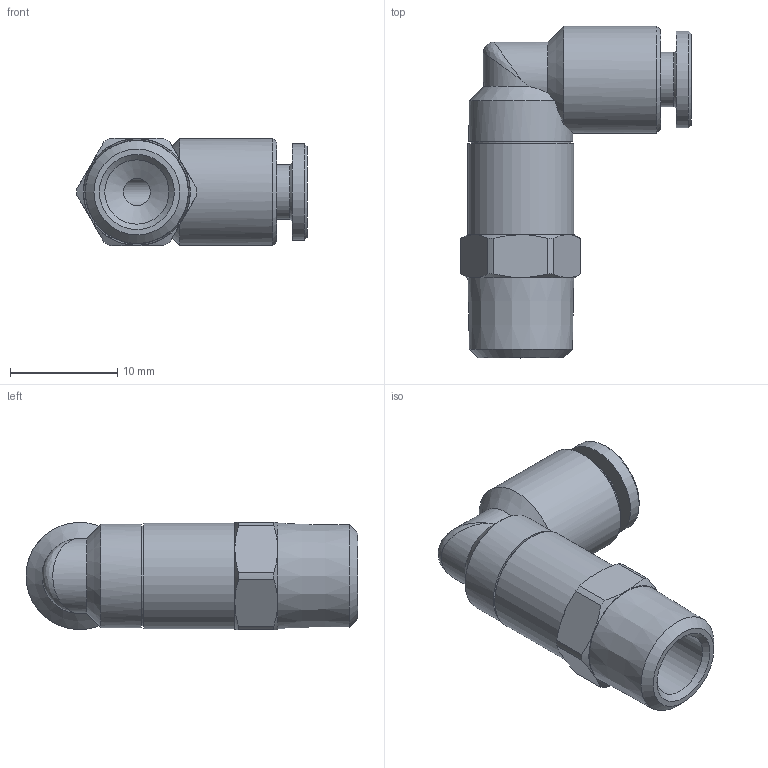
import cadquery as cq
import math


NECK_RADIUS = 3.5
ELBOW_EDGE_RADIUS = 1.0

BRANCH_RADIUS = 5.0
BRANCH_CONE_START = 2.5
BRANCH_CONE_END = BRANCH_CONE_START + BRANCH_RADIUS - NECK_RADIUS
BRANCH_END = 13.05
BRANCH_END_CHAMFER = 0.35
COLLAR_STEM_RADIUS = 2.55
COLLAR_STEM_CHAMFER = 0.2
COLLAR_RADIUS = 4.5
COLLAR_THICKNESS = 1.4
COLLAR_CHAMFER = 0.25
COLLAR_END = 15.9
COLLAR_START = COLLAR_END - COLLAR_THICKNESS

SLEEVE_RADIUS = 4.85
SLEEVE_CONE_START = 0.65
SLEEVE_CONE_END = SLEEVE_CONE_START + SLEEVE_RADIUS - NECK_RADIUS
SLEEVE_END = 5.75
GROOVE_RADIUS = 4.65
GROOVE_WIDTH = 0.25
BODY_START = SLEEVE_END + GROOVE_WIDTH
BODY_RADIUS = 4.94
HEX_START = 14.5
HEX_LENGTH = 4.0
HEX_END = HEX_START + HEX_LENGTH
STEM_END = 26.0

HEX_SIDES = 6
HEX_ACROSS_FLATS = 10.0
HEX_CORNER_RADIUS = 5.6
HEX_CHAMFER_ANGLE = math.radians(30)

THREAD_TIP_RADIUS = 4.81
THREAD_CHAMFER = 0.8

STEM_BORE_RADIUS = 3.0
STEM_BORE_CHAMFER = 0.5
STEM_BORE_DEPTH = 20.0
DRILL_POINT_ANGLE = math.radians(118)
PASSAGE_RADIUS = 1.27


def revolve_stem(profile):
    """Revolve (radius, distance) points about Y, distance running toward -Y."""
    points = [(radius, -distance) for radius, distance in profile]
    return cq.Workplane("XY").polyline(points).close().revolve(360, (0, 0, 0), (0, 1, 0))


def revolve_branch(profile):
    """Revolve (radius, distance) points about X, distance running toward +X."""
    points = [(distance, radius) for radius, distance in profile]
    return cq.Workplane("XY").polyline(points).close().revolve(360, (0, 0, 0), (1, 0, 0))


def make_elbow():
    """Two equal cylinders meeting at a corner whose outer mitre edge is rounded.

    A ball of the edge radius, rolling inside both cylinders, has its centre on a
    half ellipse in the mitre plane. It touches each cylinder along a plane curve,
    and those two planes bound the wedge that holds the rounding.
    """
    reach = 2 * NECK_RADIUS
    centre_radius = NECK_RADIUS - ELBOW_EDGE_RADIUS

    def prism(outline):
        return cq.Workplane("XY").polyline(outline).close().extrude(reach, both=True)

    branch_contact = (-2 * centre_radius, reach)
    stem_contact = (-reach, 2 * centre_radius)

    branch_side = prism([(0, 0), branch_contact, (reach, reach), (reach, -reach)])
    stem_side = prism([(0, 0), (reach, -reach), (-reach, -reach), stem_contact])
    wedge = prism([(0, 0), branch_contact, (-reach, reach), stem_contact])

    branch_leg = (
        cq.Workplane("YZ").circle(NECK_RADIUS).extrude(reach, both=True).intersect(branch_side)
    )
    stem_leg = (
        cq.Workplane("XZ").circle(NECK_RADIUS).extrude(reach, both=True).intersect(stem_side)
    )

    outward = (-1, 1, 0)
    across = (1, 1, 0)
    core_reach = (NECK_RADIUS + centre_radius) / math.sqrt(2)
    mitre_plane = cq.Plane((0, 0, 0), xDir=outward, normal=across)
    core = cq.Workplane(mitre_plane).ellipse(core_reach, NECK_RADIUS).extrude(reach, both=True)
    spine = cq.Workplane(mitre_plane).ellipse(math.sqrt(2) * centre_radius, centre_radius)
    ball_plane = cq.Plane((-centre_radius, centre_radius, 0), xDir=across, normal=(0, 0, 1))
    tube = cq.Workplane(ball_plane).circle(ELBOW_EDGE_RADIUS).sweep(spine)
    corner = core.union(tube).intersect(wedge)
    return branch_leg.union(stem_leg).union(corner)


def make_branch():
    """Cone, cylinder with chamfered rim, and the flanged release collar."""
    return revolve_branch([
        (0, BRANCH_CONE_START),
        (NECK_RADIUS, BRANCH_CONE_START),
        (BRANCH_RADIUS, BRANCH_CONE_END),
        (BRANCH_RADIUS, BRANCH_END - BRANCH_END_CHAMFER),
        (BRANCH_RADIUS - BRANCH_END_CHAMFER, BRANCH_END),
        (COLLAR_STEM_RADIUS, BRANCH_END),
        (COLLAR_STEM_RADIUS, COLLAR_START - COLLAR_STEM_CHAMFER),
        (COLLAR_STEM_RADIUS + COLLAR_STEM_CHAMFER, COLLAR_START),
        (COLLAR_RADIUS, COLLAR_START),
        (COLLAR_RADIUS, COLLAR_END - COLLAR_CHAMFER),
        (COLLAR_RADIUS - COLLAR_CHAMFER, COLLAR_END),
        (0, COLLAR_END),
    ])


def make_stem():
    """Coned sleeve, narrow groove, round body and tapered thread blank."""
    return revolve_stem([
        (0, SLEEVE_CONE_START),
        (NECK_RADIUS, SLEEVE_CONE_START),
        (SLEEVE_RADIUS, SLEEVE_CONE_END),
        (SLEEVE_RADIUS, SLEEVE_END),
        (GROOVE_RADIUS, SLEEVE_END),
        (GROOVE_RADIUS, BODY_START),
        (BODY_RADIUS, BODY_START),
        (BODY_RADIUS, HEX_END),
        (THREAD_TIP_RADIUS, STEM_END - THREAD_CHAMFER),
        (THREAD_TIP_RADIUS - THREAD_CHAMFER, STEM_END),
        (0, STEM_END),
    ])


def make_hex():
    """Hexagon with flats facing +Z and -Z, its corners turned and chamfered."""
    face_radius = HEX_ACROSS_FLATS / 2
    corner_diameter = HEX_ACROSS_FLATS / math.cos(math.pi / HEX_SIDES)
    chamfer_length = (HEX_CORNER_RADIUS - face_radius) * math.tan(HEX_CHAMFER_ANGLE)
    prism = (
        cq.Workplane("XZ").workplane(offset=HEX_START)
        .polygon(HEX_SIDES, corner_diameter).extrude(HEX_LENGTH)
    )
    turned_blank = revolve_stem([
        (0, HEX_START),
        (face_radius, HEX_START),
        (HEX_CORNER_RADIUS, HEX_START + chamfer_length),
        (HEX_CORNER_RADIUS, HEX_END - chamfer_length),
        (face_radius, HEX_END),
        (0, HEX_END),
    ])
    return prism.intersect(turned_blank)


def make_bores():
    """Chamfered stem bore with a drill point, leading to passages along both axes."""
    bore_bottom = STEM_END - STEM_BORE_DEPTH
    point_length = (STEM_BORE_RADIUS - PASSAGE_RADIUS) / math.tan(DRILL_POINT_ANGLE / 2)
    stem_bore = revolve_stem([
        (0, 0),
        (PASSAGE_RADIUS, 0),
        (PASSAGE_RADIUS, bore_bottom - point_length),
        (STEM_BORE_RADIUS, bore_bottom),
        (STEM_BORE_RADIUS, STEM_END - STEM_BORE_CHAMFER),
        (STEM_BORE_RADIUS + STEM_BORE_CHAMFER, STEM_END),
        (0, STEM_END),
    ])
    branch_passage = (
        cq.Workplane("YZ").workplane(offset=-PASSAGE_RADIUS)
        .circle(PASSAGE_RADIUS).extrude(COLLAR_END + PASSAGE_RADIUS)
    )
    return stem_bore.union(branch_passage)


outside = make_elbow().union(make_branch()).union(make_stem()).union(make_hex())
result = outside.cut(make_bores())